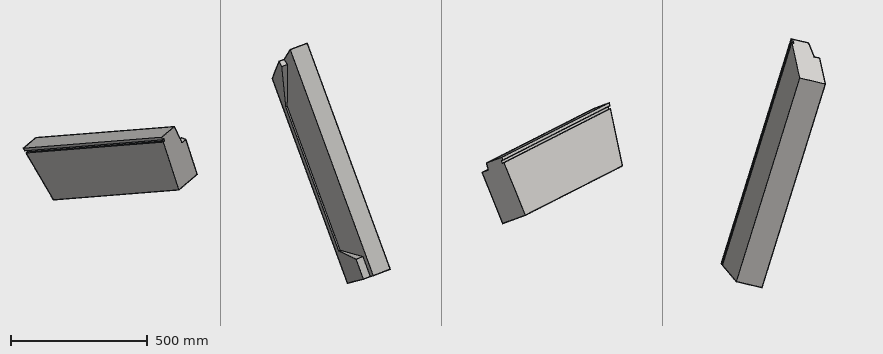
import cadquery as cq
import math

SLOPE_ANGLE = 40.0
TOTAL_LENGTH = 758.0
TOTAL_HEIGHT = 741.5
PANEL_WIDTH = 229.0
TOP_CORNER_X = 675.0

TOTAL_THICKNESS = 101.5
EDGE_THICKNESS = 70.0
TAPER_END_THICKNESS = 95.5
TAPER_WIDTH = 192.0

STOP_OFFSET = 26.5
STOP_LENGTH = 78.0
LOWER_STEP_X = 218.0
UPPER_STEP_X = 647.5
UPPER_STOP_X = 680.0
UPPER_STOP_OFFSET = 67.5
UPPER_STOP_END_OFFSET = 77.0

GROOVE_OFFSET = 11.0
GROOVE_WIDTH = 10.0
GROOVE_DEPTH = 7.5

OVERRUN = 38.0

cos_slope = math.cos(math.radians(SLOPE_ANGLE))
sin_slope = math.sin(math.radians(SLOPE_ANGLE))
lower_left = (PANEL_WIDTH * sin_slope, 0.0)
upper_left = (0.0, PANEL_WIDTH * cos_slope)
lower_right = (TOTAL_LENGTH, (TOTAL_LENGTH - lower_left[0]) * sin_slope / cos_slope)
top_corner = (TOP_CORNER_X, TOTAL_HEIGHT)
upper_edge_length = math.dist(upper_left, top_corner)


def on_panel(along, across):
    """XZ point from distances along and across the panel, from its upper left corner."""
    x = along * cos_slope + across * sin_slope
    z = upper_left[1] + along * sin_slope - across * cos_slope
    return (x, z)


def at_x(x, across):
    """XZ point at a given X and distance across the panel."""
    return on_panel((x - across * sin_slope) / cos_slope, across)


def on_end_edge(across):
    """XZ point on the slanted upper end of the panel."""
    end_along = (lower_right[0] - lower_left[0]) / cos_slope
    end_shift = (end_along - upper_edge_length) * across / PANEL_WIDTH
    return on_panel(upper_edge_length + end_shift, across)


def extrude_back(points, thickness):
    """Extrude an XZ outline from the front face toward +Y."""
    return cq.Workplane("XZ").polyline(points).close().extrude(-thickness)


def make_recess():
    """Tapered recess behind the upper edge, bounded by the two end stops and the step."""
    outline = extrude_back(
        [
            on_panel(-OVERRUN, -OVERRUN),
            on_panel(-OVERRUN, STOP_OFFSET),
            on_panel(STOP_LENGTH, STOP_OFFSET),
            at_x(LOWER_STEP_X, TAPER_WIDTH),
            at_x(UPPER_STEP_X, TAPER_WIDTH),
            at_x(UPPER_STOP_X, UPPER_STOP_OFFSET),
            on_end_edge(UPPER_STOP_END_OFFSET),
            on_panel(upper_edge_length + 2 * OVERRUN, UPPER_STOP_END_OFFSET),
            on_panel(upper_edge_length + 2 * OVERRUN, -OVERRUN),
        ],
        TOTAL_THICKNESS + OVERRUN,
    )
    taper_rate = (TAPER_END_THICKNESS - EDGE_THICKNESS) / TAPER_WIDTH
    start = on_panel(-2 * OVERRUN, 0)
    section_plane = cq.Plane(
        origin=(start[0], 0, start[1]),
        xDir=(sin_slope, 0, -cos_slope),
        normal=(cos_slope, 0, sin_slope),
    )
    wedge = (
        cq.Workplane(section_plane)
        .moveTo(-OVERRUN, EDGE_THICKNESS - taper_rate * OVERRUN)
        .lineTo(PANEL_WIDTH, EDGE_THICKNESS + taper_rate * PANEL_WIDTH)
        .lineTo(PANEL_WIDTH, TOTAL_THICKNESS + OVERRUN)
        .lineTo(-OVERRUN, TOTAL_THICKNESS + OVERRUN)
        .close()
        .extrude(upper_edge_length + 5 * OVERRUN)
    )
    return outline.intersect(wedge)


def make_groove():
    """Square groove running the whole length of the front face."""
    groove_end = upper_edge_length + OVERRUN
    far_side = GROOVE_OFFSET + GROOVE_WIDTH
    return extrude_back(
        [
            on_panel(-OVERRUN, GROOVE_OFFSET),
            on_panel(groove_end, GROOVE_OFFSET),
            on_panel(groove_end, far_side),
            on_panel(-OVERRUN, far_side),
        ],
        GROOVE_DEPTH,
    )


panel = extrude_back([lower_left, lower_right, top_corner, upper_left], TOTAL_THICKNESS)
result = panel.cut(make_recess()).cut(make_groove())